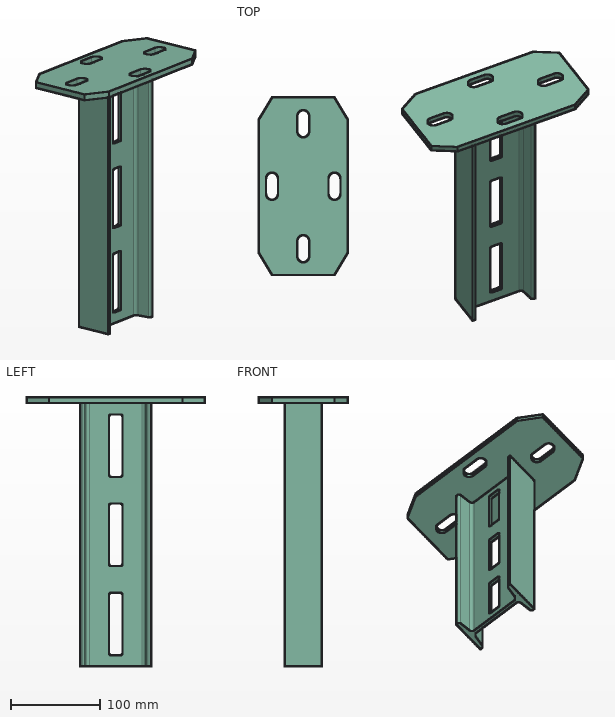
import cadquery as cq
import math

total_height = 302.5
plate_width = 100.0
plate_length = 200.0
plate_thickness = 7.0
beam_length = total_height - plate_thickness

corner_cut_x = 15.0
corner_cut_y = 25.0
plate_slot_length = 30.2
plate_slot_width = 13.0
side_slot_offset = 35.0
end_slot_offset = 2 * side_slot_offset

beam_depth = 80.0
flange_width = 42.0
web_thickness = 4.0
flange_thickness = 5.9
flange_taper = 0.14
root_radius = 4.0
toe_radius = 2.3

web_slot_length = 70.0
web_slot_width = 14.8
web_slot_corner_radius = 2.0
web_slot_pitch = 100.0
web_slot_count = 3


def make_plate():
    """Head plate on top of the beam, with cut corners and four slots."""
    half_width = plate_width / 2
    half_length = plate_length / 2
    outline = [
        (half_width, half_length - corner_cut_y),
        (half_width - corner_cut_x, half_length),
        (corner_cut_x - half_width, half_length),
        (-half_width, half_length - corner_cut_y),
        (-half_width, corner_cut_y - half_length),
        (corner_cut_x - half_width, -half_length),
        (half_width - corner_cut_x, -half_length),
        (half_width, corner_cut_y - half_length),
    ]
    slot_centres = [
        (side_slot_offset, 0),
        (-side_slot_offset, 0),
        (0, end_slot_offset),
        (0, -end_slot_offset),
    ]
    blank = cq.Workplane("XY").workplane(offset=beam_length).polyline(outline).close().extrude(plate_thickness)
    return blank.faces(">Z").workplane().pushPoints(slot_centres).slot2D(
        plate_slot_length, plate_slot_width, angle=90
    ).cutThruAll()


def make_flange_recess(side):
    """Space between the flanges on one side of the web; side is +1 or -1 along X."""
    half_flange = flange_width / 2
    half_web = web_thickness / 2
    toe_thickness = flange_thickness - flange_taper * flange_width / 4
    root_thickness = toe_thickness + flange_taper * (half_flange - half_web)
    toe_y = beam_depth / 2 - toe_thickness
    root_y = beam_depth / 2 - root_thickness

    taper_angle = math.atan(flange_taper)
    toe_tangent = toe_radius * math.tan((math.pi / 2 - taper_angle) / 2)
    toe_arc_x = half_flange - toe_tangent * math.cos(taper_angle)
    toe_arc_y = toe_y - toe_tangent * math.sin(taper_angle)
    toe_start_y = toe_y + toe_tangent
    toe_centre_x = half_flange - toe_radius
    middle_angle = (math.pi / 2 - taper_angle) / 2
    toe_middle_x = toe_centre_x + toe_radius * math.cos(middle_angle)
    toe_middle_y = toe_start_y - toe_radius * math.sin(middle_angle)

    recess = (
        cq.Workplane("XY")
        .moveTo(side * half_web, root_y)
        .lineTo(side * toe_arc_x, toe_arc_y)
        .threePointArc((side * toe_middle_x, toe_middle_y), (side * half_flange, toe_start_y))
        .lineTo(side * half_flange, -toe_start_y)
        .threePointArc((side * toe_middle_x, -toe_middle_y), (side * toe_arc_x, -toe_arc_y))
        .lineTo(side * half_web, -root_y)
        .close()
        .extrude(beam_length)
    )
    web_face = "<X" if side > 0 else ">X"
    return recess.faces(web_face).edges("|Z").fillet(root_radius)


def make_web_slot(centre_z):
    """Cutter for one rounded rectangular slot through the web."""
    return (
        cq.Workplane("XY")
        .box(flange_width, web_slot_width, web_slot_length)
        .edges("|X")
        .fillet(web_slot_corner_radius)
        .translate((0, 0, centre_z))
    )


def make_beam():
    """Vertical I-beam with a row of slots centred along its web."""
    beam = cq.Workplane("XY").rect(flange_width, beam_depth).extrude(beam_length)
    for side in (1, -1):
        beam = beam.cut(make_flange_recess(side))
    for index in range(web_slot_count):
        steps_from_middle = index - (web_slot_count - 1) / 2
        beam = beam.cut(make_web_slot(beam_length / 2 + steps_from_middle * web_slot_pitch))
    return beam


plate = make_plate()
beam = make_beam()
result = cq.Compound.makeCompound([plate.val(), beam.val()])